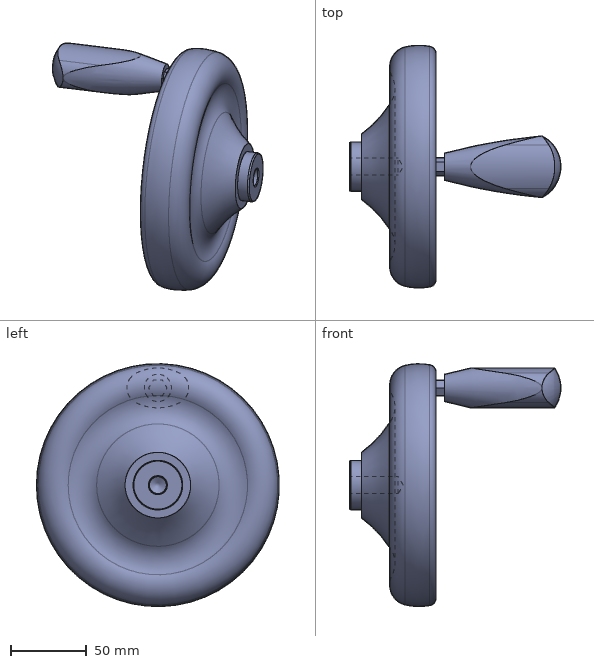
import cadquery as cq
import math

WHEEL_RADIUS = 80.0
BACK_X = 57.0
BACK_RADIUS = 75.0

COLLAR_RADIUS = 16.3
COLLAR_LENGTH = 7.8
COLLAR_BEVEL_LENGTH = 1.1
COLLAR_BEVEL_HEIGHT = 0.5

SHOULDER_RADIUS = 21.6
FLARE_MIDDLE = (17.6, 30.0)
FLARE_END = (25.8, 40.3)
VALLEY_BOTTOM = (29.8, 49.3)

RIM_FRONT_X = 26.4
RIM_ROUND_RADIUS = 13.6
RIM_ROUND_CENTRE_RADIUS = 65.8
RIM_INNER_RADIUS = 59.0
RIM_OUTER_RADIUS = 78.9
CROWN_X = 45.1
CROWN_END = (52.6, 79.4)
BACK_EDGE_MIDDLE = (55.7, 77.8)

BORE_RADIUS = 5.6
BORE_CHAMFER = 0.6
BORE_DEPTH = 32.0
DRILL_TIP_ANGLE = 118.0

HANDLE_OFFSET = 64.0
NECK_ACROSS_FLATS = 10.4
GRIP_START_X = 62.4
GRIP_START_RADIUS = 9.0
GRIP_MIDDLE = (94.4, 16.0)
GRIP_END = (126.7, 20.3)
HANDLE_END_X = 139.2
DOME_RADIUS = 23.0

OVAL_HALF_HEIGHT = 13.1
OVAL_FACE_RADIUS = 32.0
OVAL_SIDE_RADIUS = 10.7
OVAL_HALF_WIDTH = 20.3


def revolve_about_x(profile):
    return profile.close().revolve(360, (0, 0, 0), (1, 0, 0))


def make_bore():
    tip_length = BORE_RADIUS / math.tan(math.radians(DRILL_TIP_ANGLE / 2))
    profile = (
        cq.Workplane("XY")
        .lineTo(0, BORE_RADIUS + BORE_CHAMFER)
        .lineTo(BORE_CHAMFER, BORE_RADIUS)
        .lineTo(BORE_DEPTH, BORE_RADIUS)
        .lineTo(BORE_DEPTH + tip_length, 0)
    )
    return revolve_about_x(profile)


def make_wheel():
    round_centre_x = RIM_FRONT_X + RIM_ROUND_RADIUS

    def rim_round_point(radius):
        rise = radius - RIM_ROUND_CENTRE_RADIUS
        return (round_centre_x - math.sqrt(RIM_ROUND_RADIUS**2 - rise**2), radius)

    profile = (
        cq.Workplane("XY")
        .lineTo(0, COLLAR_RADIUS - COLLAR_BEVEL_HEIGHT)
        .lineTo(COLLAR_BEVEL_LENGTH, COLLAR_RADIUS)
        .lineTo(COLLAR_LENGTH, COLLAR_RADIUS)
        .lineTo(COLLAR_LENGTH, SHOULDER_RADIUS)
        .threePointArc(FLARE_MIDDLE, FLARE_END)
        .threePointArc(VALLEY_BOTTOM, rim_round_point(RIM_INNER_RADIUS))
        .threePointArc(rim_round_point(RIM_ROUND_CENTRE_RADIUS), rim_round_point(RIM_OUTER_RADIUS))
        .threePointArc((CROWN_X, WHEEL_RADIUS), CROWN_END)
        .threePointArc(BACK_EDGE_MIDDLE, (BACK_X, BACK_RADIUS))
        .lineTo(BACK_X, 0)
    )
    return revolve_about_x(profile).cut(make_bore())


def make_grip_oval():
    """Prism along X whose section is the four-arc oval of the grip."""
    side_centre_y = OVAL_HALF_WIDTH - OVAL_SIDE_RADIUS
    lean = math.asin(side_centre_y / (OVAL_FACE_RADIUS - OVAL_SIDE_RADIUS))
    join_y = OVAL_FACE_RADIUS * math.sin(lean)
    join_z = OVAL_HALF_HEIGHT - OVAL_FACE_RADIUS * (1 - math.cos(lean))
    return (
        cq.Workplane("YZ", origin=(GRIP_START_X, 0, 0))
        .moveTo(-join_y, join_z)
        .threePointArc((0, OVAL_HALF_HEIGHT), (join_y, join_z))
        .threePointArc((OVAL_HALF_WIDTH, 0), (join_y, -join_z))
        .threePointArc((0, -OVAL_HALF_HEIGHT), (-join_y, -join_z))
        .threePointArc((-OVAL_HALF_WIDTH, 0), (-join_y, join_z))
        .close()
        .extrude(HANDLE_END_X - GRIP_START_X)
    )


def make_grip():
    """Domed body of revolution, trimmed to the oval section."""
    dome_middle_angle = math.asin(GRIP_END[1] / DOME_RADIUS) / 2
    dome_middle = (
        HANDLE_END_X - DOME_RADIUS * (1 - math.cos(dome_middle_angle)),
        DOME_RADIUS * math.sin(dome_middle_angle),
    )
    profile = (
        cq.Workplane("XY")
        .moveTo(GRIP_START_X, 0)
        .lineTo(GRIP_START_X, GRIP_START_RADIUS)
        .threePointArc(GRIP_MIDDLE, GRIP_END)
        .threePointArc(dome_middle, (HANDLE_END_X, 0))
    )
    return revolve_about_x(profile).intersect(make_grip_oval())


def make_handle():
    neck_across_corners = NECK_ACROSS_FLATS / math.cos(math.pi / 6)
    neck = (
        cq.Workplane("YZ", origin=(BACK_X, 0, 0))
        .polygon(6, neck_across_corners)
        .extrude(GRIP_START_X - BACK_X)
    )
    return neck.union(make_grip()).translate((0, 0, HANDLE_OFFSET))


wheel = make_wheel()
handle = make_handle()
result = cq.Compound.makeCompound([wheel.val(), *handle.vals()])